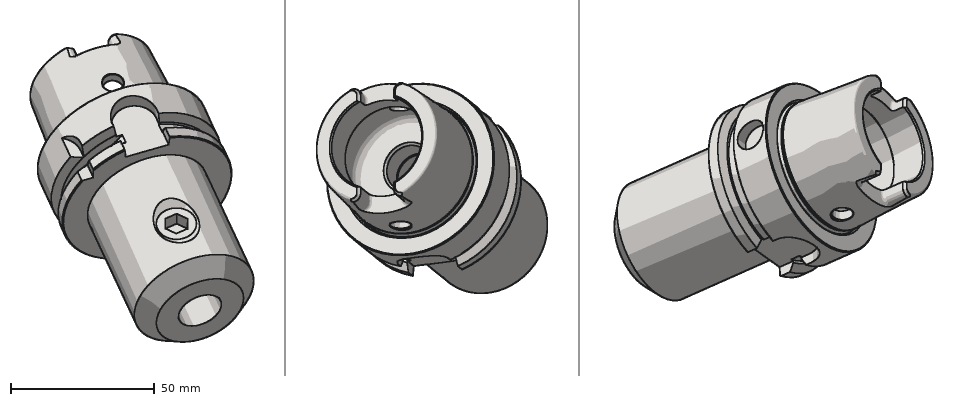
import cadquery as cq
import math


TOTAL_LENGTH = 111.4
FACE_X = 32.0
FLANGE_WIDTH = 25.8
FLANGE_END_X = FACE_X + FLANGE_WIDTH

TAPER_SLOPE = 0.05
TAPER_BIG_RADIUS = 48.5 / 2
TAPER_END_X = 30.1
TAPER_SMALL_RADIUS = TAPER_BIG_RADIUS - TAPER_SLOPE * TAPER_END_X
END_ROUNDING = 1.0

NECK_RADIUS = 24.0
NECK_START_X = 30.6
NECK_END_X = 31.3
RECESS_DEPTH = 0.6
RECESS_FLOOR_RADIUS = 24.6
RECESS_RADIUS = 25.3

FLANGE_RADIUS = 31.5
FLANGE_CHAMFER = 0.3
GROOVE_FLOOR_RADIUS = 27.5
GROOVE_WALL_RADIUS = 28.5
GROOVE_START_X = 48.1
GROOVE_END_X = 51.7
GROOVE_FLANK_ANGLE = 30.0
GROOVE_FLARE = (FLANGE_RADIUS - GROOVE_WALL_RADIUS) * math.tan(math.radians(GROOVE_FLANK_ANGLE))

NOSE_RADIUS = 44.4 / 2
NOSE_CHAMFER = 6.0

BORE_RADIUS = 34.0 / 2
BORE_CHAMFER = 0.6
BORE_LIP_END_X = 13.3
UNDERCUT_RADIUS = 40.0 / 2
SHOULDER_ANGLE = 30.0
SHOULDER_LENGTH = (UNDERCUT_RADIUS - BORE_RADIUS) * math.tan(math.radians(SHOULDER_ANGLE))
UNDERCUT_START_X = BORE_LIP_END_X + SHOULDER_LENGTH
BORE_FLOOR_RADIUS = 31.3 / 2
BORE_FLOOR_X = 30.1
BORE_FLOOR_FILLET = UNDERCUT_RADIUS - BORE_FLOOR_RADIUS
TOOL_BORE_RADIUS = 15.9 / 2
TUBE_SEAT_RADIUS = 16.8 / 2
TUBE_SEAT_MOUTH_RADIUS = 18.6 / 2
TUBE_SEAT_CHAMFER = TUBE_SEAT_MOUTH_RADIUS - TUBE_SEAT_RADIUS
TUBE_SEAT_DEPTH = 10.0

DRIVE_HALF_WIDTH = 6.2
DRIVE_EDGE_RADIUS = 2.9
DRIVE_EDGE_Z = 20.9
DRIVE_FLOOR_FILLET = 1.3
MOUTH_CHAMFER_ANGLE = 45.0
DRIVE_TOP_DEPTH = 5.8
DRIVE_BOTTOM_DEPTH = 9.8

CROSS_HOLE_X = 22.8
CROSS_HOLE_RADIUS = 7.5 / 2
CROSS_HOLE_CHAMFER = 0.5

TOP_KEYWAY_RADIUS = 15.9 / 2
BOTTOM_KEYWAY_RADIUS = 17.9 / 2
KEYWAY_FLARE = 0.5
KEYWAY_FLOOR_Z = 26.4
KEYWAY_CENTER_X = 44.9
NOTCH_END_RADIUS = 8.5
NOTCH_SIDE = 20.0

GROOVE_FLAT_DISTANCE = 21.9
GROOVE_FLAT_ANGLE = 138.0
CHIP_X = 39.0
CHIP_RADIUS = 11.4 / 2
CHIP_DEPTH = 4.6

SCREW_X = 87.4
SCREW_RADIUS = 14.0 / 2
SCREW_TOP_Z = 20.4
SINK_HALF_ANGLE = 60.0
HEX_DIAMETER = 8.9
HEX_TURN = 39.0
HEX_DEPTH = 5.6

CLEARANCE = 5.6


def revolve_about_x(profile):
    """Turn a closed outline, drawn as (x, radius), around the X axis."""
    return profile.close().revolve(360, (0, 0, 0), (1, 0, 0))


def turned_blank():
    rounding_mid = END_ROUNDING * (1 - math.sqrt(0.5))
    profile = (
        cq.Workplane("XY")
        .moveTo(0, 0)
        .lineTo(0, TAPER_SMALL_RADIUS - END_ROUNDING)
        .threePointArc(
            (rounding_mid, TAPER_SMALL_RADIUS - rounding_mid),
            (END_ROUNDING, TAPER_SMALL_RADIUS + TAPER_SLOPE * END_ROUNDING),
        )
        .lineTo(TAPER_END_X, TAPER_BIG_RADIUS)
        .lineTo(NECK_START_X, NECK_RADIUS)
        .lineTo(NECK_END_X, NECK_RADIUS)
        .lineTo(FACE_X + RECESS_DEPTH, RECESS_FLOOR_RADIUS)
        .lineTo(FACE_X, RECESS_RADIUS)
        .lineTo(FACE_X, FLANGE_RADIUS - FLANGE_CHAMFER)
        .lineTo(FACE_X + FLANGE_CHAMFER, FLANGE_RADIUS)
        .lineTo(GROOVE_START_X - GROOVE_FLARE, FLANGE_RADIUS)
        .lineTo(GROOVE_START_X, GROOVE_WALL_RADIUS)
        .lineTo(GROOVE_START_X, GROOVE_FLOOR_RADIUS)
        .lineTo(GROOVE_END_X, GROOVE_FLOOR_RADIUS)
        .lineTo(GROOVE_END_X, GROOVE_WALL_RADIUS)
        .lineTo(GROOVE_END_X + GROOVE_FLARE, FLANGE_RADIUS)
        .lineTo(FLANGE_END_X - FLANGE_CHAMFER, FLANGE_RADIUS)
        .lineTo(FLANGE_END_X, FLANGE_RADIUS - FLANGE_CHAMFER)
        .lineTo(FLANGE_END_X, NOSE_RADIUS)
        .lineTo(TOTAL_LENGTH - NOSE_CHAMFER, NOSE_RADIUS)
        .lineTo(TOTAL_LENGTH, NOSE_RADIUS - NOSE_CHAMFER)
        .lineTo(TOTAL_LENGTH, 0)
    )
    return revolve_about_x(profile)


def bore_cutter():
    fillet_mid = BORE_FLOOR_FILLET * math.sqrt(0.5)
    profile = (
        cq.Workplane("XY")
        .moveTo(0, 0)
        .lineTo(0, BORE_RADIUS + BORE_CHAMFER)
        .lineTo(BORE_CHAMFER, BORE_RADIUS)
        .lineTo(BORE_LIP_END_X, BORE_RADIUS)
        .lineTo(UNDERCUT_START_X, UNDERCUT_RADIUS)
        .lineTo(BORE_FLOOR_X - BORE_FLOOR_FILLET, UNDERCUT_RADIUS)
        .threePointArc(
            (BORE_FLOOR_X - BORE_FLOOR_FILLET + fillet_mid, BORE_FLOOR_RADIUS + fillet_mid),
            (BORE_FLOOR_X, BORE_FLOOR_RADIUS),
        )
        .lineTo(BORE_FLOOR_X, TUBE_SEAT_MOUTH_RADIUS)
        .lineTo(BORE_FLOOR_X + TUBE_SEAT_CHAMFER, TUBE_SEAT_RADIUS)
        .lineTo(BORE_FLOOR_X + TUBE_SEAT_DEPTH, TUBE_SEAT_RADIUS)
        .lineTo(BORE_FLOOR_X + TUBE_SEAT_DEPTH, TOOL_BORE_RADIUS)
        .lineTo(TOTAL_LENGTH, TOOL_BORE_RADIUS)
        .lineTo(TOTAL_LENGTH, 0)
    )
    return revolve_about_x(profile)


def drive_slot_outline(growth):
    """Section of a slot at +Z whose walls curl outward near the shank surface, grown all round."""
    half_width = DRIVE_HALF_WIDTH + growth
    edge_z = DRIVE_EDGE_Z - growth
    curl_radius = DRIVE_EDGE_RADIUS - growth
    curl_mid = curl_radius * (1 - math.sqrt(0.5))
    top = TAPER_BIG_RADIUS + CLEARANCE
    shoulder = half_width + curl_radius
    outer = shoulder + CLEARANCE
    return (
        cq.Workplane("YZ")
        .moveTo(-half_width, 0)
        .lineTo(half_width, 0)
        .lineTo(half_width, edge_z - curl_radius)
        .threePointArc((half_width + curl_mid, edge_z - curl_mid), (shoulder, edge_z))
        .lineTo(outer, edge_z)
        .lineTo(outer, top)
        .lineTo(-outer, top)
        .lineTo(-outer, edge_z)
        .lineTo(-shoulder, edge_z)
        .threePointArc((-half_width - curl_mid, edge_z - curl_mid), (-half_width, edge_z - curl_radius))
        .close()
    )


def drive_slot_cutter(depth):
    """Drive slot with rounded floor corners and a chamfered mouth."""
    slot = drive_slot_outline(0).extrude(depth).faces(">X").edges().fillet(DRIVE_FLOOR_FILLET)
    mouth = drive_slot_outline(END_ROUNDING).extrude(END_ROUNDING, taper=MOUTH_CHAMFER_ANGLE)
    return slot.union(mouth)


def cross_hole_cutter():
    """Hole across the whole shank with a small countersink at both openings."""
    surface = TAPER_SMALL_RADIUS + TAPER_SLOPE * CROSS_HOLE_X
    mouth = CROSS_HOLE_RADIUS + CROSS_HOLE_CHAMFER
    half = (
        cq.Workplane("XZ")
        .moveTo(0, 0)
        .lineTo(CROSS_HOLE_RADIUS, 0)
        .lineTo(CROSS_HOLE_RADIUS, surface - CROSS_HOLE_CHAMFER)
        .lineTo(mouth, surface)
        .lineTo(mouth, surface + CLEARANCE)
        .lineTo(0, surface + CLEARANCE)
        .close()
        .revolve(360, (0, 0, 0), (0, 1, 0))
    )
    return half.union(half.mirror("XY")).translate((CROSS_HOLE_X, 0, 0))


def round_ended_outline(plane, radius):
    """Outline with a half-round end, open past the back of the flange."""
    back = FLANGE_END_X + CLEARANCE
    return (
        plane.moveTo(back, -radius)
        .lineTo(KEYWAY_CENTER_X, -radius)
        .threePointArc((KEYWAY_CENTER_X - radius, 0), (KEYWAY_CENTER_X, radius))
        .lineTo(back, radius)
        .close()
    )


def keyway_cutter(radius):
    """Round-ended keyway at +Z whose walls lean outward up to the flange radius."""
    depth = FLANGE_RADIUS - KEYWAY_FLOOR_Z
    lean = math.degrees(math.atan(KEYWAY_FLARE / depth))
    floor_plane = cq.Workplane("XY", origin=(0, 0, KEYWAY_FLOOR_Z))
    keyway = round_ended_outline(floor_plane, radius).extrude(depth, taper=-lean)
    behind_flange = (
        cq.Workplane("XY")
        .box(2 * CLEARANCE, 4 * FLANGE_RADIUS, 4 * FLANGE_RADIUS, centered=(False, True, True))
        .translate((FLANGE_END_X, 0, 0))
    )
    return keyway.cut(behind_flange)


def notch_cutter():
    """Round-ended step with its wall at -Y and its floor facing +Z."""
    floor_plane = cq.Workplane("XY", origin=(0, 0, NOTCH_SIDE))
    return (
        round_ended_outline(floor_plane, NOTCH_END_RADIUS)
        .extrude(FLANGE_RADIUS)
        .translate((0, -NOTCH_SIDE - NOTCH_END_RADIUS, 0))
    )


def groove_flat_cutter():
    width = GROOVE_END_X - GROOVE_START_X
    return (
        cq.Workplane("XY")
        .box(width, CLEARANCE + GROOVE_FLOOR_RADIUS, 2 * FLANGE_RADIUS, centered=(False, False, True))
        .translate((GROOVE_START_X, GROOVE_FLAT_DISTANCE, 0))
        .rotate((0, 0, 0), (1, 0, 0), GROOVE_FLAT_ANGLE)
    )


def chip_pocket_cutter():
    return (
        cq.Workplane("XZ", origin=(CHIP_X, FLANGE_RADIUS, 0))
        .circle(CHIP_RADIUS)
        .extrude(CHIP_DEPTH)
    )


def screw_hole_cutter():
    """Screw hole from the nose surface into the tool bore, with a wide countersink above the screw."""
    top = NOSE_RADIUS + CLEARANCE
    sink_radius = SCREW_RADIUS + (top - SCREW_TOP_Z) * math.tan(math.radians(SINK_HALF_ANGLE))
    return (
        cq.Workplane("XZ", origin=(SCREW_X, 0, 0))
        .moveTo(0, 0)
        .lineTo(SCREW_RADIUS, 0)
        .lineTo(SCREW_RADIUS, SCREW_TOP_Z)
        .lineTo(sink_radius, top)
        .lineTo(0, top)
        .close()
        .revolve(360, (0, 0, 0), (0, 1, 0))
    )


def make_holder():
    cutters = [
        bore_cutter(),
        drive_slot_cutter(DRIVE_TOP_DEPTH),
        drive_slot_cutter(DRIVE_BOTTOM_DEPTH).mirror("XY"),
        cross_hole_cutter(),
        keyway_cutter(TOP_KEYWAY_RADIUS),
        keyway_cutter(BOTTOM_KEYWAY_RADIUS).mirror("XY"),
        notch_cutter(),
        groove_flat_cutter(),
        chip_pocket_cutter(),
        screw_hole_cutter(),
    ]
    body = turned_blank()
    for cutter in cutters:
        body = body.cut(cutter)
    return body


def make_clamping_screw():
    hexagon = (
        cq.Workplane("XY", origin=(0, 0, SCREW_TOP_Z))
        .polygon(6, HEX_DIAMETER)
        .extrude(-HEX_DEPTH)
        .rotate((0, 0, 0), (0, 0, 1), HEX_TURN)
    )
    return (
        cq.Workplane("XY", origin=(0, 0, TOOL_BORE_RADIUS))
        .circle(SCREW_RADIUS)
        .extrude(SCREW_TOP_Z - TOOL_BORE_RADIUS)
        .cut(hexagon)
        .translate((SCREW_X, 0, 0))
    )


holder = make_holder()
clamping_screw = make_clamping_screw()
result = cq.Compound.makeCompound([holder.val(), clamping_screw.val()])